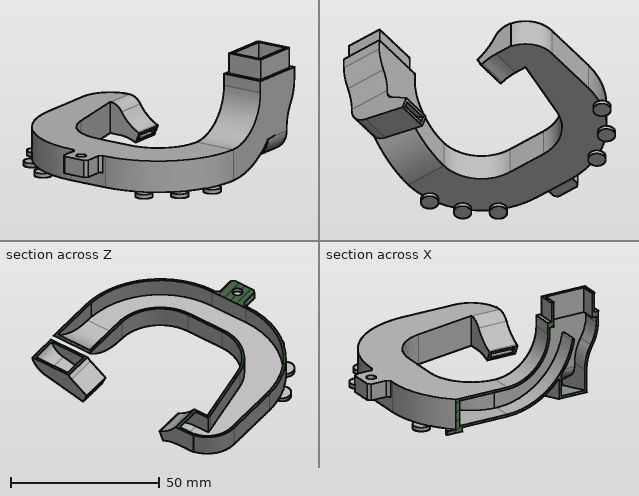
import cadquery as cq
import math

wall = 1.0

half_width = 38.0
ring_height = 11.0
outer_radius = 31.0
ring_depth = 15.0
inner_radius = outer_radius - ring_depth
arm_width = 11.0
arm_end_y = 62.5

bend_radius = 16.0
neck_height = 4.0
back_radius = 16.0
back_overhang = 4.5
divider_end_angle = 80

spigot_height = 7.0
spigot_inset_x = 1.0
spigot_inset_y = 1.5

lip_top = (15.0, 2.05)
lip_bottom = (16.5, -1.5)
floor_angle = 13.8
floor_radius = 7.7
roof_angle = 34.2
roof_radius = 3.6
crest_radius = 5.5
crest_angle = 58.0
sag_radius = 16.8
sag_end_angle = 27.0
dip_radius = 14.0
dip_angle = 23.6

foot_diameter = 6.0
foot_height = 1.5
first_foot_angle = 18.8
foot_spacing_angle = 22.4
feet_per_side = 3

tab_width = 10.0
tab_length = 8.0
tab_height = 6.0
tab_chamfer = 1.0
tab_hole_diameter = 3.3
tab_hole_distance = 4.0

corner_x = half_width - outer_radius
riser_inner_x = half_width - ring_depth
arm_inner_x = arm_width - half_width
nozzle_front_y = arm_end_y - arm_width
bend_y = outer_radius
bend_z = ring_height + bend_radius
shoulder_z = bend_z + neck_height
neck_front_y = bend_y + bend_radius
neck_back_y = arm_end_y + back_overhang
divider_outer_radius = bend_radius + ring_height
divider_inner_radius = divider_outer_radius - wall
back_angle = math.acos(1 - back_overhang / (2 * back_radius))
back_foot_z = bend_z - 2 * back_radius * math.sin(back_angle)


def polar(center, radius, degrees):
    """Point on a circle, with the angle counted from the first axis."""
    a = math.radians(degrees)
    return (center[0] + radius * math.cos(a), center[1] + radius * math.sin(a))


def extrude_x(sketch, x_start, x_end):
    """Extrude a closed YZ outline between two X positions."""
    return sketch.extrude(x_end - x_start).translate((x_start, 0, 0))


def extrude_y(sketch, y_start, y_end):
    """Extrude a closed XZ outline between two Y positions."""
    return sketch.extrude(-(y_end - y_start)).translate((0, y_start, 0))


def box(x_range, y_range, z_range):
    """Box between pairs of X, Y and Z limits."""
    size = [high - low for low, high in (x_range, y_range, z_range)]
    return cq.Workplane("XY").box(*size, centered=False).translate((x_range[0], y_range[0], z_range[0]))


def ring_outline():
    """Outline of the U; each front corner has concentric outer and inner arcs."""
    left_center = (-corner_x, outer_radius)
    right_center = (corner_x, outer_radius)
    arm_corner = (arm_inner_x, nozzle_front_y)
    dx = arm_inner_x - left_center[0]
    dy = nozzle_front_y - left_center[1]
    tangent_angle = math.degrees(math.atan2(dy, dx) + math.acos(inner_radius / math.hypot(dx, dy)))
    return (
        cq.Workplane("XY")
        .moveTo(-corner_x, 0)
        .lineTo(corner_x, 0)
        .threePointArc(polar(right_center, outer_radius, -45), (half_width, bend_y))
        .lineTo(riser_inner_x, bend_y)
        .threePointArc(polar(right_center, inner_radius, -45), (corner_x, ring_depth))
        .lineTo(-corner_x, ring_depth)
        .threePointArc(
            polar(left_center, inner_radius, (270 + tangent_angle) / 2),
            polar(left_center, inner_radius, tangent_angle),
        )
        .lineTo(*arm_corner)
        .lineTo(arm_inner_x, arm_end_y)
        .threePointArc(polar(arm_corner, arm_width, 135), (-half_width, nozzle_front_y))
        .lineTo(-half_width, outer_radius)
        .threePointArc(polar(left_center, outer_radius, 225), (-corner_x, 0))
        .close()
    )


def riser_outline(inset):
    """YZ outline of the bend, neck and S-shaped back, moved inward by the inset.

    Under the spigot the inset is doubled, which leaves a thicker shoulder.
    """
    center = (bend_y, bend_z)
    front_radius = bend_radius + inset
    under_radius = divider_outer_radius - inset
    upper_radius = back_radius - inset
    lower_radius = back_radius + inset
    back_degrees = math.degrees(back_angle)
    upper_center = (neck_back_y - back_radius, bend_z)
    lower_center = (arm_end_y + back_radius, back_foot_z)
    back_foot = (arm_end_y - inset, back_foot_z)
    under_z = bend_z - math.sqrt(under_radius**2 - (nozzle_front_y + inset - bend_y) ** 2)
    under_angle = math.degrees(math.atan2(under_z - bend_z, nozzle_front_y + inset - bend_y))
    return (
        cq.Workplane("YZ")
        .moveTo(bend_y, ring_height - inset)
        .threePointArc(polar(center, front_radius, -45), (bend_y + front_radius, bend_z))
        .lineTo(bend_y + front_radius, shoulder_z - 2 * inset)
        .lineTo(neck_back_y - inset, shoulder_z - 2 * inset)
        .lineTo(neck_back_y - inset, bend_z)
        .threePointArc(
            polar(upper_center, upper_radius, -back_degrees / 2),
            polar(upper_center, upper_radius, -back_degrees),
        )
        .threePointArc(polar(lower_center, lower_radius, 180 - back_degrees / 2), back_foot)
        .lineTo(nozzle_front_y + inset, under_z)
        .threePointArc(polar(center, under_radius, (under_angle - 90) / 2), (bend_y, inset))
        .close()
    )


def divider():
    """Curved wall that splits the flow between the ring and the right nozzle."""
    center = (bend_y, bend_z)
    end = divider_end_angle - 90
    middle = (end - 90) / 2
    nose = polar(center, divider_outer_radius - wall / 2, end)
    nose_tip = polar(nose, wall / 2, end + 90)
    outline = (
        cq.Workplane("YZ")
        .moveTo(bend_y, 0)
        .threePointArc(
            polar(center, divider_outer_radius, middle), polar(center, divider_outer_radius, end)
        )
        .threePointArc(nose_tip, polar(center, divider_inner_radius, end))
        .threePointArc(polar(center, divider_inner_radius, middle), (bend_y, wall))
        .close()
    )
    return extrude_x(outline, riser_inner_x, half_width)


def floor_point(x, inset):
    """Point of the right nozzle's sloping floor at a distance x from the middle."""
    slope = math.radians(floor_angle)
    return (x, lip_bottom[1] + (x - lip_bottom[0]) * math.tan(slope) + inset / math.cos(slope))


def mouth_overrun(inset):
    """Distance by which a passage is carried out through the nozzle mouth."""
    return 2 * inset


def right_nozzle_outline(inset):
    """XZ outline of the nozzle below the riser, moved inward by the inset."""
    wall_x = half_width - inset
    bend = floor_radius - inset
    top_z = bend_z if inset else back_foot_z
    slope = math.radians(floor_angle)
    arc_center_x = wall_x - bend
    arc_start = floor_point(arc_center_x + bend * math.sin(slope), inset)
    arc_center = (arc_center_x, arc_start[1] + bend * math.cos(slope))
    roof_slope = math.radians(roof_angle)
    side_x = riser_inner_x + inset
    roof_bend = roof_radius + inset
    roof_center_x = side_x - roof_bend
    roof_x = roof_center_x + roof_bend * math.sin(roof_slope)
    roof_drop = inset / math.cos(roof_slope)
    roof_z = lip_top[1] + (roof_x - lip_top[0]) * math.tan(roof_slope) - roof_drop
    roof_center = (roof_center_x, roof_z + roof_bend * math.cos(roof_slope))
    overrun = mouth_overrun(inset)
    mouth_top = (lip_top[0] - overrun, lip_top[1] - overrun * math.tan(roof_slope) - roof_drop)
    return (
        cq.Workplane("XZ")
        .moveTo(*mouth_top)
        .lineTo(roof_x, roof_z)
        .threePointArc(
            polar(roof_center, roof_bend, (roof_angle - 90) / 2), (side_x, roof_center[1])
        )
        .lineTo(side_x, top_z)
        .lineTo(wall_x, top_z)
        .lineTo(wall_x, arc_center[1])
        .threePointArc(polar(arc_center, bend, (floor_angle - 90) / 2), arc_start)
        .lineTo(*floor_point(lip_bottom[0] - overrun, inset))
        .close()
    )


def left_nozzle_outline(inset):
    """XZ outline of the nozzle at the end of the left arm, moved inward by the inset."""
    crest = crest_radius - inset
    sag = sag_radius + inset
    crest_center = (arm_inner_x, ring_height - crest_radius)
    crest_end = polar(crest_center, crest, 90 - crest_angle)
    sag_center = polar(crest_center, crest_radius + sag_radius, 90 - crest_angle)
    sag_end = polar(sag_center, sag, 270 - sag_end_angle)
    overrun = mouth_overrun(inset)
    end_slope = math.radians(sag_end_angle)
    mouth_x = -lip_top[0] + overrun
    mouth_z = sag_end[1] - (mouth_x - sag_end[0]) * math.tan(end_slope)
    root_x = arm_inner_x - 2 * wall
    dip = dip_radius + inset
    dip_slope = math.radians(dip_angle)
    dip_end_z = dip_radius * (math.cos(dip_slope) - 1)
    dip_end_x = (lip_bottom[1] - dip_end_z) / math.tan(dip_slope) - lip_bottom[0]
    dip_center = (dip_end_x - dip_radius * math.sin(dip_slope), -dip_radius)
    floor_end = polar(dip_center, dip, 90 - dip_angle)
    floor_x = -lip_bottom[0] + overrun
    floor_z = floor_end[1] - (floor_x - floor_end[0]) * math.tan(dip_slope)
    return (
        cq.Workplane("XZ")
        .moveTo(root_x, ring_height - inset)
        .lineTo(arm_inner_x, ring_height - inset)
        .threePointArc(polar(crest_center, crest, 90 - crest_angle / 2), crest_end)
        .threePointArc(polar(sag_center, sag, 270 - (crest_angle + sag_end_angle) / 2), sag_end)
        .lineTo(mouth_x, mouth_z)
        .lineTo(floor_x, floor_z)
        .lineTo(*floor_end)
        .threePointArc(polar(dip_center, dip, 90 - dip_angle / 2), (dip_center[0], inset))
        .lineTo(root_x, inset)
        .close()
    )


def feet():
    pads = cq.Workplane("XY")
    for side in (-1, 1):
        for index in range(feet_per_side):
            angle = first_foot_angle + index * foot_spacing_angle
            x, y = polar((corner_x, outer_radius), outer_radius, -angle)
            pad = cq.Workplane("XY").center(side * x, y).circle(foot_diameter / 2).extrude(-foot_height)
            pads = pads.add(pad)
    return pads.combine()


def tab():
    """Chamfered tab that flares where it joins the ring, with a blind hole from above."""
    half = tab_width / 2
    return (
        cq.Workplane("XY")
        .workplane(offset=ring_height - tab_height)
        .moveTo(half + tab_chamfer, 0)
        .lineTo(half, -tab_chamfer)
        .lineTo(half, tab_chamfer - tab_length)
        .lineTo(half - tab_chamfer, -tab_length)
        .lineTo(tab_chamfer - half, -tab_length)
        .lineTo(-half, tab_chamfer - tab_length)
        .lineTo(-half, -tab_chamfer)
        .lineTo(-half - tab_chamfer, 0)
        .close()
        .extrude(tab_height)
        .cut(
            cq.Workplane("XY")
            .workplane(offset=ring_height - tab_height + wall)
            .center(0, -tab_hole_distance)
            .circle(tab_hole_diameter / 2)
            .extrude(tab_height)
        )
    )


def spigot_block(inset, z_start):
    return box(
        (riser_inner_x + spigot_inset_x + inset, half_width - spigot_inset_x - inset),
        (neck_front_y + spigot_inset_y + inset, neck_back_y - spigot_inset_y - inset),
        (z_start, shoulder_z + spigot_height),
    )


outside = (
    ring_outline().extrude(ring_height)
    .union(extrude_x(riser_outline(0), riser_inner_x, half_width))
    .union(extrude_y(right_nozzle_outline(0), nozzle_front_y, arm_end_y))
    .union(extrude_y(left_nozzle_outline(0), nozzle_front_y, arm_end_y))
    .union(spigot_block(0, shoulder_z))
)

ring_passage = (
    ring_outline().offset2D(-wall).extrude(ring_height - 2 * wall).translate((0, 0, wall))
)
riser_passage = extrude_x(riser_outline(wall), riser_inner_x + wall, half_width - wall)
ring_to_riser = box(
    (riser_inner_x + wall, half_width - wall),
    (bend_y - 2 * wall, bend_y),
    (wall, ring_height - wall),
)
right_passage = extrude_y(right_nozzle_outline(wall), nozzle_front_y + wall, arm_end_y - wall)
left_passage = extrude_y(left_nozzle_outline(wall), nozzle_front_y + wall, arm_end_y - wall)
passages = (
    ring_passage.union(ring_to_riser)
    .union(riser_passage)
    .union(right_passage)
    .cut(divider())
    .union(left_passage)
    .union(spigot_block(wall, shoulder_z - 2 * wall))
)

result = outside.cut(passages).union(feet()).union(tab())